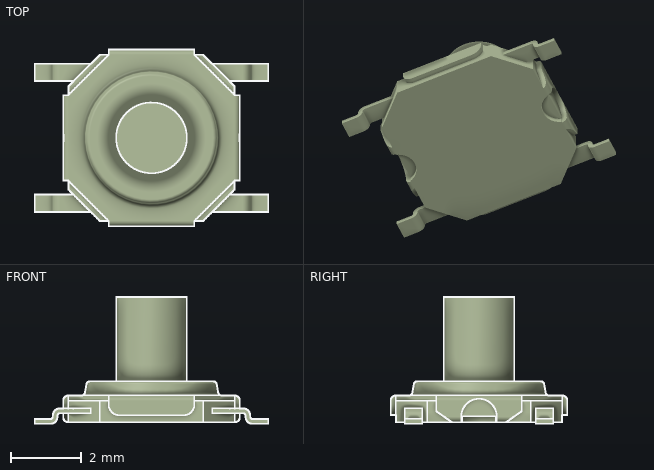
import cadquery as cq
import math

body_bottom = 0.045
cover_top = 0.805
boss_top = 1.205
plunger_top = 3.59

body_half = 2.35
body_flat_half = 1.46
cover_flat_half = 1.21
sheet = 0.15
cover_bottom = cover_top - sheet
tab_face = body_half + sheet

boss_foot_radius = 1.985
boss_bend = 0.1
boss_lean = 10

plunger_radius = 1.0

short_tab_bottom = 0.245
short_tab_corner = 0.3

taper_start = 0.36
taper_end_half = 0.76
arch_radius = 0.5
arch_center = 0.21

lead_thickness = 0.14
lead_inner_bend = 0.06
lead_outer_bend = lead_inner_bend + lead_thickness
lead_top = 0.44
lead_width = 0.5
lead_y = 1.85
lead_tip = 3.3
lead_knee = 2.59
riser_lean = 5
lead_root = 1.2


def octagon(half, flat_half, bottom, top):
    """Upright octagonal prism with its four main sides at +/-half."""
    corner = 2 * (half + flat_half) / math.sqrt(2)
    height = top - bottom
    square = cq.Workplane("XY", origin=(0, 0, bottom)).rect(2 * half, 2 * half).extrude(height)
    diamond = cq.Workplane("XY", origin=(0, 0, bottom)).rect(corner, corner).extrude(height)
    return square.intersect(diamond.rotate((0, 0, 0), (0, 0, 1), 45))


def point_on_circle(center, radius, degrees):
    """Point of a circle at an angle in degrees from its first axis."""
    angle = math.radians(degrees)
    return center[0] + radius * math.cos(angle), center[1] + radius * math.sin(angle)


def tangent_run(rise, radius_sum, degrees):
    """Horizontal distance between two opposed bends joined by a leaning tangent wall."""
    lean = math.radians(degrees)
    return (radius_sum + rise * math.sin(lean)) / math.cos(lean)


def make_boss():
    """Revolved boss: concave foot, slightly conical wall, rounded top edge."""
    foot_center = (boss_foot_radius, cover_top + boss_bend)
    edge_height = boss_top - boss_bend
    run = tangent_run(edge_height - foot_center[1], 2 * boss_bend, boss_lean)
    edge_center = (boss_foot_radius - run, edge_height)
    foot_end = 180 + boss_lean
    return (
        cq.Workplane("XZ")
        .moveTo(0, cover_bottom)
        .lineTo(boss_foot_radius, cover_bottom)
        .lineTo(boss_foot_radius, cover_top)
        .threePointArc(
            point_on_circle(foot_center, boss_bend, (270 + foot_end) / 2),
            point_on_circle(foot_center, boss_bend, foot_end),
        )
        .lineTo(*point_on_circle(edge_center, boss_bend, boss_lean))
        .threePointArc(
            point_on_circle(edge_center, boss_bend, (90 + boss_lean) / 2),
            (edge_center[0], boss_top),
        )
        .lineTo(0, boss_top)
        .close()
        .revolve(360, (0, 0, 0), (0, 1, 0))
    )


def make_plunger():
    """Round push button standing on the boss."""
    height = plunger_top - cover_bottom
    return cq.Workplane("XY", origin=(0, 0, cover_bottom)).circle(plunger_radius).extrude(height)


def bend_waste(bend_center, edge):
    """Material outside a 90 degree bend between height bend_center and height edge."""
    radius = abs(edge - bend_center)
    reach = 2 * cover_flat_half
    block = cq.Workplane("XY").box(radius, reach, radius)
    block = block.translate((body_half + radius / 2, 0, (bend_center + edge) / 2))
    roll = (
        cq.Workplane("XZ", origin=(0, reach / 2, 0))
        .center(body_half, bend_center)
        .circle(radius)
        .extrude(reach)
    )
    return block.cut(roll)


def make_short_tab():
    """Tab for the +Y side, made on the +X side and turned into place."""
    height = cover_top - short_tab_bottom
    tab = cq.Workplane("XY").box(sheet, 2 * cover_flat_half, height, centered=(False, True, False))
    tab = tab.translate((body_half, 0, short_tab_bottom))
    tab = tab.edges("|X and <Z").fillet(short_tab_corner)
    tab = tab.cut(bend_waste(cover_bottom, cover_top))
    return tab.rotate((0, 0, 0), (0, 0, 1), 90)


def make_long_tab():
    """Tab for the +X side, with an arched opening at its lower edge."""
    outline = (
        cq.Workplane("YZ", origin=(body_half, 0, 0))
        .moveTo(-cover_flat_half, cover_top)
        .lineTo(-cover_flat_half, taper_start)
        .lineTo(-taper_end_half, body_bottom)
        .lineTo(taper_end_half, body_bottom)
        .lineTo(cover_flat_half, taper_start)
        .lineTo(cover_flat_half, cover_top)
        .close()
        .extrude(sheet)
    )
    tab = outline.cut(bend_waste(cover_bottom, cover_top))
    tab = tab.cut(bend_waste(body_bottom + sheet, body_bottom))
    arch = (
        cq.Workplane("YZ", origin=(body_half, 0, 0))
        .moveTo(-arch_radius, body_bottom)
        .lineTo(-arch_radius, arch_center)
        .threePointArc((0, arch_center + arch_radius), (arch_radius, arch_center))
        .lineTo(arch_radius, body_bottom)
        .close()
        .extrude(sheet)
    )
    return tab.cut(arch)


def make_notch():
    """Round recess in the underside of the housing below the arch on the +X side."""
    return cq.Workplane("XY").center(tab_face, 0).circle(arch_radius).extrude(arch_center)


def make_lead():
    """Lead on the +X side, centred on the XZ plane, with a slightly leaning riser."""
    knee_center = (lead_knee, lead_top - lead_outer_bend)
    foot_height = lead_outer_bend
    rise = knee_center[1] - foot_height
    run = tangent_run(rise, lead_outer_bend + lead_inner_bend, riser_lean)
    foot_center = (lead_knee + run, foot_height)
    lead_underside = lead_top - lead_thickness

    knee_end = riser_lean
    knee_middle = (90 + riser_lean) / 2
    foot_end = 180 + riser_lean
    foot_middle = (270 + foot_end) / 2
    return (
        cq.Workplane("XZ", origin=(0, lead_width / 2, 0))
        .moveTo(lead_tip, 0)
        .lineTo(lead_tip, lead_thickness)
        .lineTo(foot_center[0], lead_thickness)
        .threePointArc(
            point_on_circle(foot_center, lead_inner_bend, foot_middle),
            point_on_circle(foot_center, lead_inner_bend, foot_end),
        )
        .lineTo(*point_on_circle(knee_center, lead_outer_bend, knee_end))
        .threePointArc(
            point_on_circle(knee_center, lead_outer_bend, knee_middle),
            (lead_knee, lead_top),
        )
        .lineTo(lead_root, lead_top)
        .lineTo(lead_root, lead_underside)
        .lineTo(lead_knee, lead_underside)
        .threePointArc(
            point_on_circle(knee_center, lead_inner_bend, knee_middle),
            point_on_circle(knee_center, lead_inner_bend, knee_end),
        )
        .lineTo(*point_on_circle(foot_center, lead_outer_bend, foot_end))
        .threePointArc(
            point_on_circle(foot_center, lead_outer_bend, foot_middle),
            (foot_center[0], 0),
        )
        .close()
        .extrude(lead_width)
    )


result = octagon(body_half, body_flat_half, body_bottom, cover_bottom)
result = result.union(octagon(body_half, cover_flat_half, cover_bottom, cover_top))
result = result.union(make_boss()).union(make_plunger())

for turn in (0, 180):
    for feature in (make_short_tab(), make_long_tab()):
        result = result.union(feature.rotate((0, 0, 0), (0, 0, 1), turn))
    result = result.cut(make_notch().rotate((0, 0, 0), (0, 0, 1), turn))
    for side in (-1, 1):
        lead = make_lead().translate((0, side * lead_y, 0))
        result = result.union(lead.rotate((0, 0, 0), (0, 0, 1), turn))